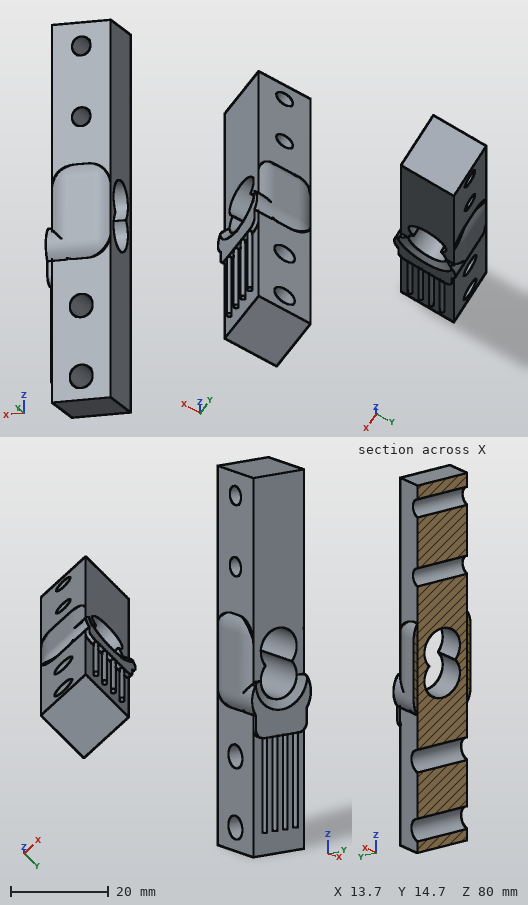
import cadquery as cq
import math

LENGTH = 80.0
SIDE = 12.7
HOLDER_WIDTH = 14.7
SKIN = (HOLDER_WIDTH - SIDE) / 2
HALF = SIDE / 2
MID_X = SIDE / 2
MID_Z = LENGTH / 2
OUTER_X = SIDE + SKIN

MARGIN = 5.0
HOLE_PITCH = 15.0
UPPER_HOLE_DIA = 4.0
LOWER_HOLE_DIA = 5.0

WINDOW_RADIUS = 4.5
WINDOW_OFFSET = 3.0
LOWER_WINDOW_Z = MID_Z - WINDOW_OFFSET

PAD_HEIGHT = 20.0
PAD_ROUND = 6.0
PAD_CORNER = 5.0
PLATE_DROP = 5.0
PLATE_CORNER = 2.0
FLARE_WIDTH = 2.0
PAD_BOTTOM = MID_Z - PAD_HEIGHT / 2
PLATE_BOTTOM = PAD_BOTTOM - PLATE_DROP
ROUND_REACH = math.sqrt(PAD_ROUND**2 - (PAD_ROUND - SKIN)**2)
BURIED = PAD_ROUND - ROUND_REACH
ARM_Z = PAD_BOTTOM + ROUND_REACH

LEAD_COUNT = 4
LEAD_PITCH = 2.6
LEAD_DIA = SKIN
LEAD_LENGTH = 20.0


def box(x0, x1, width, z0, z1):
    """Box between X and Z limits, centred on Y = 0."""
    return cq.Workplane("XY").box(x1 - x0, width, z1 - z0).translate(
        ((x0 + x1) / 2, 0, (z0 + z1) / 2)
    )


def make_bar():
    bar = box(0, SIDE, SIDE, 0, LENGTH)
    for from_end in (MARGIN, MARGIN + HOLE_PITCH):
        for z, diameter in ((from_end, LOWER_HOLE_DIA), (LENGTH - from_end, UPPER_HOLE_DIA)):
            hole = cq.Workplane("XZ").center(MID_X, z).circle(diameter / 2).extrude(HALF, both=True)
            bar = bar.cut(hole)
    for z in (MID_Z - WINDOW_OFFSET, MID_Z + WINDOW_OFFSET):
        bar = bar.cut(cq.Workplane("YZ").center(0, z).circle(WINDOW_RADIUS).extrude(SIDE))
    return bar


def make_side_pads():
    """Two domed pads: the parts of one rounded block that lie outside the bar's side faces."""
    pads = box(-BURIED, SIDE + BURIED, HOLDER_WIDTH, PAD_BOTTOM - BURIED, PAD_BOTTOM + PAD_HEIGHT + BURIED)
    pads = pads.edges().fillet(PAD_ROUND)
    outline = box(0, SIDE, HOLDER_WIDTH, PAD_BOTTOM, PAD_BOTTOM + PAD_HEIGHT)
    outline = outline.edges("|Y").fillet(PAD_CORNER)
    return pads.intersect(outline).cut(box(0, SIDE, SIDE, 0, LENGTH))


def make_arms():
    """Round-sided arms that carry the pads past the end face, topped at the opening's centre."""
    start = SIDE - ROUND_REACH
    arms = (
        cq.Workplane("YZ", origin=(start, 0, ARM_Z))
        .slot2D(HOLDER_WIDTH, 2 * PAD_ROUND)
        .extrude(OUTER_X - start)
    )
    arms = arms.cut(box(0, SIDE, SIDE, 0, LENGTH))
    return arms.cut(box(SIDE, OUTER_X, HOLDER_WIDTH, LOWER_WINDOW_Z, LENGTH))


def make_holder():
    plate = box(SIDE, OUTER_X, SIDE, PLATE_BOTTOM, ARM_Z)
    plate = plate.edges("|X and <Z").fillet(PLATE_CORNER)
    flare = cq.Solid.makeCone(
        WINDOW_RADIUS,
        WINDOW_RADIUS + FLARE_WIDTH,
        SKIN,
        pnt=cq.Vector(SIDE, 0, LOWER_WINDOW_Z),
        dir=cq.Vector(1, 0, 0),
    )
    end_plate = plate.union(make_arms()).cut(cq.Workplane(flare))
    return end_plate.union(make_side_pads())


def make_lead(y):
    """Round lead lying on the end face and hanging from the end plate."""
    return (
        cq.Workplane("XY", origin=(SIDE + LEAD_DIA / 2, y, PLATE_BOTTOM))
        .circle(LEAD_DIA / 2)
        .extrude(-LEAD_LENGTH)
    )


bar = make_bar()
holder = make_holder()
leads = [make_lead((i - (LEAD_COUNT - 1) / 2) * LEAD_PITCH) for i in range(LEAD_COUNT)]

result = cq.Compound.makeCompound([bar.val(), *holder.vals(), *[lead.val() for lead in leads]])